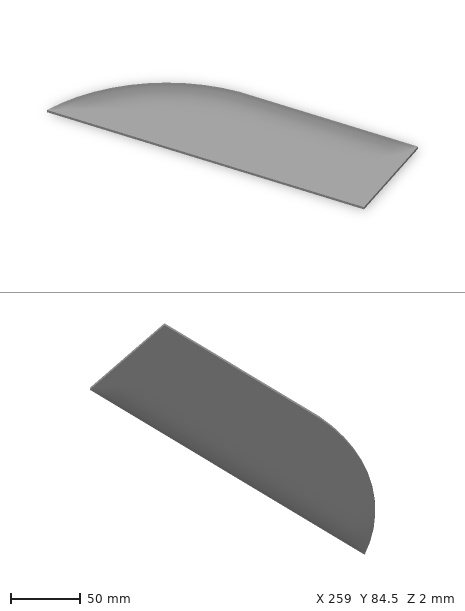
import cadquery as cq

length = 259.0
width = 84.5
thickness = 2.0

nose_length = 112.7
nose_radius = 128.2

result = (
    cq.Workplane("XY")
    .moveTo(0, 0)
    .radiusArc((nose_length, width), nose_radius)
    .lineTo(length, width)
    .lineTo(length, 0)
    .close()
    .extrude(thickness)
)